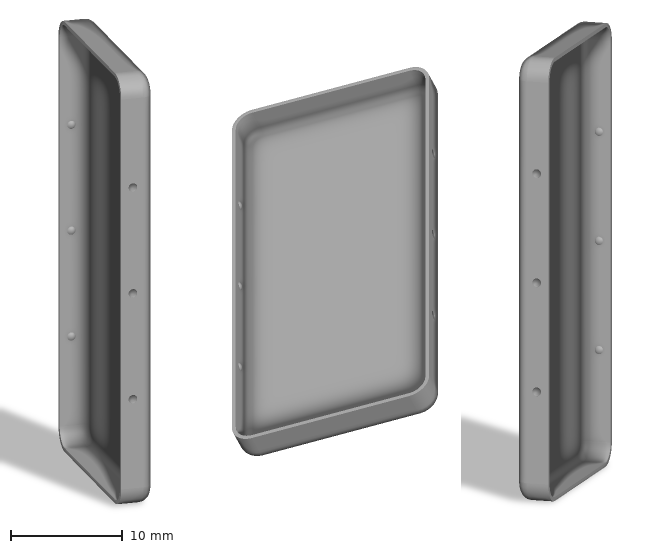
import cadquery as cq

width = 18.9
depth = 3.0
height = 40.6

wall = 0.35
corner_radius = 1.9
back_edge_radius = 0.97

bump_radius = 0.53
dimple_radius = 0.4
bump_from_rim = 1.1
bump_spacing = 10.0
bump_rows = (-1, 0, 1)


def rounded_block(inset, front_y, back_y):
    """Rounded rectangle, inset from the outline, with its back edge rounded."""
    block = cq.Workplane("XY").box(width - 2 * inset, back_y - front_y, height - 2 * inset)
    block = block.translate((0, (front_y + back_y) / 2, 0))
    block = block.edges("|Y").fillet(corner_radius - inset)
    return block.faces(">Y").edges().fillet(back_edge_radius - inset)


def right_wall_spheres(radius):
    """Spheres on the outer face of the +X wall, one for each row."""
    centres = [(width / 2, bump_from_rim - depth / 2, row * bump_spacing) for row in bump_rows]
    return cq.Workplane("XY").pushPoints(centres).sphere(radius)


tray = rounded_block(0, -depth / 2, depth / 2)
cavity = rounded_block(wall, -depth / 2, depth / 2 - wall)
tray = tray.cut(cavity)

bumps = right_wall_spheres(bump_radius).intersect(cavity)
dimples = right_wall_spheres(dimple_radius)
for side_bumps in (bumps, bumps.mirror("YZ")):
    tray = tray.union(side_bumps)
for side_dimples in (dimples, dimples.mirror("YZ")):
    tray = tray.cut(side_dimples)
result = tray